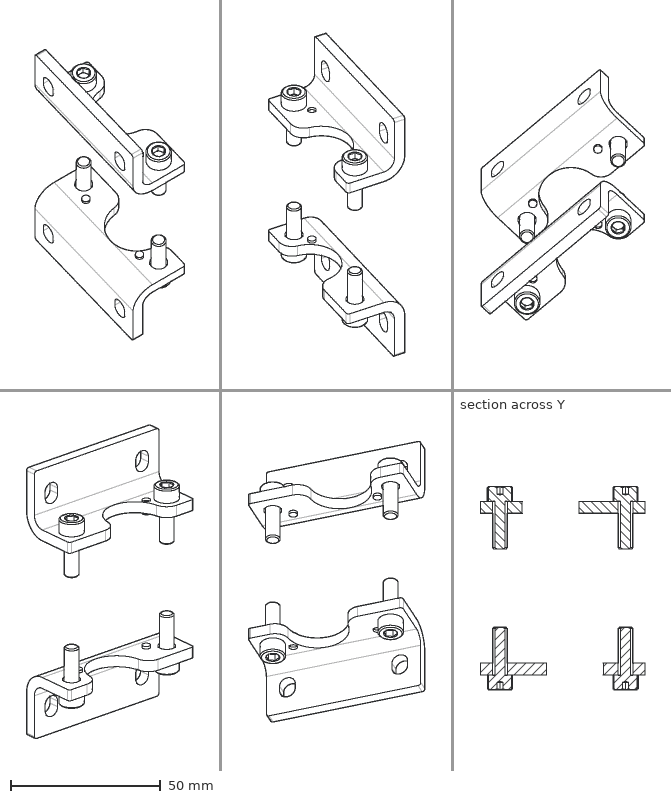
import cadquery as cq
import math

TOTAL_HEIGHT = 98.0
BRACKET_WIDTH = 55.0
FLANGE_DEPTH = 22.0
WALL_HEIGHT = 24.0
THICKNESS = 4.0
FLANGE_BASE = WALL_HEIGHT - THICKNESS
BEND_INNER_RADIUS = 4.0
BEND_OUTER_RADIUS = BEND_INNER_RADIUS + THICKNESS
CORNER_RADIUS = 1.0

SLOT_SPACING = 40.0
SLOT_WIDTH = 5.5
SLOT_LENGTH = 7.5
SLOT_EDGE_DISTANCE = 10.0

NOTCH_RADIUS = 10.8
NOTCH_OFFSET = 4.0
NOTCH_INSET = 3.0
SHOULDER_RADIUS = 5.0

STUD_SPACING = 30.0
STUD_DIAMETER = 2.8
STUD_HEIGHT = 0.9
STUD_Y = 12.0

SCREW_SPACING = 41.9
SCREW_INSET = 6.5
SCREW_Y = FLANGE_DEPTH - SCREW_INSET
SHANK_DIAMETER = 5.0
SHANK_LENGTH = 16.0
TIP_CHAMFER = 0.5
CLEARANCE_DIAMETER = 6.0
HEAD_DIAMETER = 8.5
HEAD_HEIGHT = 5.0
HEAD_CHAMFER = 0.5
SOCKET_FLATS = 4.0
HEX_HALF_ANGLE = 30
SOCKET_CORNERS = SOCKET_FLATS / math.cos(math.radians(HEX_HALF_ANGLE))
SOCKET_MOUTH_DIAMETER = 4.7
SOCKET_DEPTH = 2.5
SOCKET_CONE_DEPTH = 1.2


def mirrored_pair(spacing, y):
    """Two points, equally far either side of the middle of the width."""
    return [(-spacing / 2, y), (spacing / 2, y)]


def angle_blank():
    """Plate bent to a right angle, with its four free corners rounded."""
    wall = cq.Workplane("XY").box(BRACKET_WIDTH, THICKNESS, WALL_HEIGHT, centered=(True, False, False))
    flange = (
        cq.Workplane("XY", origin=(0, 0, FLANGE_BASE))
        .box(BRACKET_WIDTH, FLANGE_DEPTH, THICKNESS, centered=(True, False, False))
    )
    blank = wall.union(flange)
    blank = blank.edges("|X and <Y and >Z").fillet(BEND_OUTER_RADIUS)
    inner_bend_edge = cq.selectors.NearestToPointSelector((0, THICKNESS, FLANGE_BASE))
    blank = blank.edges("|X").edges(inner_bend_edge).fillet(BEND_INNER_RADIUS)
    blank = blank.edges("|Y and <Z").fillet(CORNER_RADIUS)
    return blank.edges("|Z and >Y").fillet(CORNER_RADIUS)


def wall_slots():
    slots = mirrored_pair(SLOT_SPACING, SLOT_EDGE_DISTANCE)
    return (
        cq.Workplane("XZ")
        .pushPoints(slots)
        .slot2D(SLOT_LENGTH, SLOT_WIDTH, 90)
        .extrude(-THICKNESS)
    )


def flange_notch():
    """Arc cut whose mouth flows into the flange edge over two tangent shoulder arcs."""
    centre_y = FLANGE_DEPTH - NOTCH_INSET
    shoulder_y = FLANGE_DEPTH - SHOULDER_RADIUS
    centre_distance = NOTCH_RADIUS + SHOULDER_RADIUS
    rise = shoulder_y - centre_y
    half_mouth = math.sqrt(centre_distance**2 - rise**2)
    tangent_x = half_mouth * NOTCH_RADIUS / centre_distance
    tangent_y = centre_y + rise * NOTCH_RADIUS / centre_distance

    start_angle = math.pi / 2
    end_angle = math.atan2(tangent_y - shoulder_y, tangent_x - half_mouth) % (2 * math.pi)
    middle_angle = (start_angle + end_angle) / 2
    middle_x = half_mouth + SHOULDER_RADIUS * math.cos(middle_angle)
    middle_y = shoulder_y + SHOULDER_RADIUS * math.sin(middle_angle)

    return (
        cq.Workplane("XY", origin=(NOTCH_OFFSET, 0, FLANGE_BASE))
        .moveTo(half_mouth, FLANGE_DEPTH)
        .threePointArc((middle_x, middle_y), (tangent_x, tangent_y))
        .threePointArc((0, centre_y - NOTCH_RADIUS), (-tangent_x, tangent_y))
        .threePointArc((-middle_x, middle_y), (-half_mouth, FLANGE_DEPTH))
        .close()
        .extrude(THICKNESS)
    )


def flange_cylinders(spacing, y, diameter, bottom, height):
    """A pair of upright cylinders starting at the height `bottom`."""
    return (
        cq.Workplane("XY", origin=(0, 0, bottom))
        .pushPoints(mirrored_pair(spacing, y))
        .circle(diameter / 2)
        .extrude(height)
    )


def make_bracket():
    screw_holes = flange_cylinders(SCREW_SPACING, SCREW_Y, CLEARANCE_DIAMETER, FLANGE_BASE, THICKNESS)
    dents = flange_cylinders(STUD_SPACING, STUD_Y, STUD_DIAMETER, FLANGE_BASE, STUD_HEIGHT)
    studs = flange_cylinders(STUD_SPACING, STUD_Y, STUD_DIAMETER, WALL_HEIGHT, STUD_HEIGHT)
    return (
        angle_blank()
        .cut(wall_slots())
        .cut(flange_notch())
        .cut(screw_holes)
        .cut(dents)
        .union(studs)
    )


def make_screw():
    """Socket head cap screw, shank up, with the underside of its head at Z = 0."""
    head = cq.Workplane("XY").circle(HEAD_DIAMETER / 2).extrude(-HEAD_HEIGHT)
    head = head.faces("<Z").chamfer(HEAD_CHAMFER)
    shank = cq.Workplane("XY").circle(SHANK_DIAMETER / 2).extrude(SHANK_LENGTH)
    shank = shank.faces(">Z").chamfer(TIP_CHAMFER)
    socket = (
        cq.Workplane("XY", origin=(0, 0, -HEAD_HEIGHT))
        .transformed(rotate=(0, 0, HEX_HALF_ANGLE))
        .polygon(6, SOCKET_CORNERS)
        .extrude(SOCKET_DEPTH)
    )
    mouth_depth = (SOCKET_MOUTH_DIAMETER - SOCKET_FLATS) / 2
    mouth = cq.Workplane(
        cq.Solid.makeCone(
            SOCKET_MOUTH_DIAMETER / 2, SOCKET_FLATS / 2, mouth_depth, pnt=cq.Vector(0, 0, -HEAD_HEIGHT)
        )
    )
    socket_end = cq.Workplane(
        cq.Solid.makeCone(
            SOCKET_FLATS / 2, 0, SOCKET_CONE_DEPTH, pnt=cq.Vector(0, 0, SOCKET_DEPTH - HEAD_HEIGHT)
        )
    )
    return head.union(shank).cut(socket).cut(mouth).cut(socket_end)


def turned_over(body):
    """The same body in the upper half: turned half a turn about the Y line at mid-height."""
    axis_start = (0, 0, TOTAL_HEIGHT / 2)
    axis_end = (0, 1, TOTAL_HEIGHT / 2)
    return body.rotate(axis_start, axis_end, 180)


lower_bracket = make_bracket()
upper_bracket = turned_over(lower_bracket)

screw = make_screw()
screws = []
for x, y in mirrored_pair(SCREW_SPACING, SCREW_Y):
    lower_screw = screw.translate((x, y, FLANGE_BASE))
    screws.append(lower_screw.val())
    screws.append(turned_over(lower_screw).val())

result = cq.Compound.makeCompound([lower_bracket.val(), upper_bracket.val(), *screws])